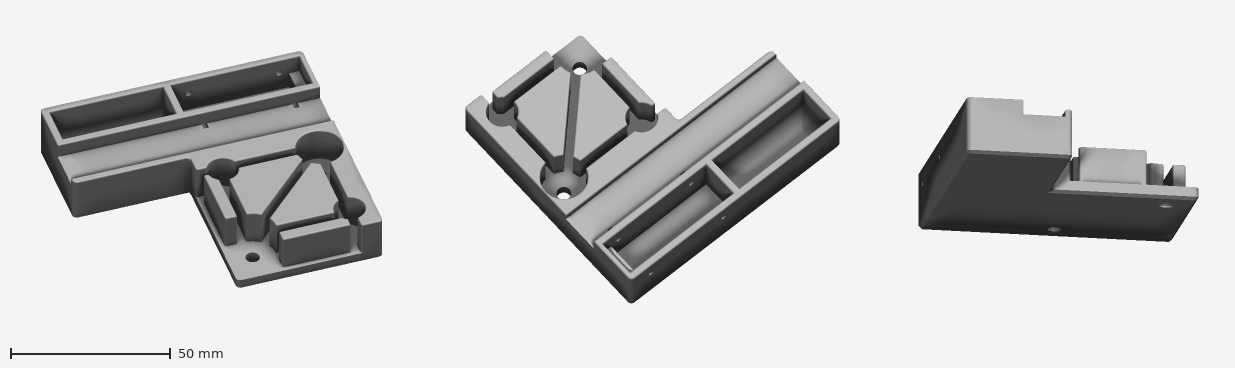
import cadquery as cq
length_x = 80.8
length_y = 86.7
bar_x = 33.7
plate_y = 38.4

box_top = 18.3
groove_floor = 13.4
raised_top = 15.9
floor_z = 4.1

corner_radius = 1.5
bottom_chamfer = 0.95
edge_radius = 0.5

groove_x0 = 18.0
groove_x1 = 31.4

side_wall = 2.5
back_wall = 1.7
divider = 2.5
pocket_x0 = side_wall
pocket_x1 = groove_x0 - side_wall
front_pocket_y1 = 40.0
basin_radius = 5.0
ledge_z = 12.0
ledge_depth = 3.4
ramp_rise = 2.0

pin_diameter = 2.0
pin_end_x = 20.0
pin_z = 12.9
pin_y_positions = (48.5, 78.4)

clearance_x0 = 42.05
clearance_x1 = 71.9
clearance_y0 = 46.5
clearance_y1 = 78.5
large_radius = 7.5
small_radius = 4.985
channel = 2.99
screw_diameter = 4.5

recess_x0 = 40.0
recess_y1 = 79.4
core_x0 = recess_x0 + channel
core_x1 = 72.3
core_y0 = 46.9
core_y1 = recess_y1 - channel
rib_x0 = core_x1 + channel
rib_y1 = core_y0 - channel
margin = 1.5

over = 4.3
tolerance = 0.1

tool_x1 = length_x + over
tool_y0 = plate_y - over
tool_y1 = length_y + over

inner_corner = cq.selectors.BoxSelector(
    (bar_x - tolerance, plate_y - tolerance, 0),
    (bar_x + tolerance, plate_y + tolerance, box_top),
)


def block(x0, x1, y0, y1, z0, z1):
    """Box given by its limits along each axis."""
    return cq.Workplane("XY").box(x1 - x0, y1 - y0, z1 - z0, centered=False).translate((x0, y0, z0))


def layer(x0, x1, y0, y1):
    """Box that fills the height of the recess."""
    return block(x0, x1, y0, y1, floor_z, raised_top)


def raised_edges(x0, x1, y0, y1):
    """Selector for edges at the raised height whose centres lie in an area."""
    return cq.selectors.BoxSelector(
        (x0, y0, raised_top - tolerance), (x1, y1, raised_top + tolerance))


def stepped_base():
    """Footprint with rounded outer corners, cut to three heights."""
    base = (
        cq.Workplane("XY")
        .polyline([
            (0, 0), (bar_x, 0), (bar_x, plate_y),
            (length_x, plate_y), (length_x, length_y), (0, length_y),
        ])
        .close()
        .extrude(box_top)
        .edges(cq.selectors.StringSyntaxSelector("|Z") - inner_corner).fillet(corner_radius)
        .faces("<Z").edges().chamfer(bottom_chamfer)
    )
    base = base.cut(block(groove_x0, groove_x1, -over, tool_y1, groove_floor, box_top))
    return base.cut(block(groove_x1, tool_x1, -over, tool_y1, raised_top, box_top))


def front_pocket():
    """Pocket whose floor is rounded along all four walls, with mitred corners."""
    well = block(pocket_x0, pocket_x1, side_wall, front_pocket_y1, floor_z, box_top)
    across = well.edges("<Z and |Y").fillet(basin_radius)
    along = well.edges("<Z and |X").fillet(basin_radius)
    return across.intersect(along)


def rear_pocket():
    """Pocket with a ledge at its rear end and a floor that slopes down to mid-width."""
    y0 = front_pocket_y1 + divider
    y1 = length_y - back_wall
    ledge_y = y1 - ledge_depth
    middle_x = groove_x0 / 2
    ramp_top = floor_z + ramp_rise
    well = (
        cq.Workplane("XZ", origin=(0, ledge_y, 0))
        .polyline([
            (pocket_x0, box_top), (pocket_x0, ramp_top), (middle_x, floor_z),
            (pocket_x1, floor_z), (pocket_x1, box_top),
        ])
        .close()
        .extrude(ledge_y - y0)
    )
    return well.union(block(pocket_x0, pocket_x1, ledge_y, y1, ledge_z, box_top))


def pin_holes():
    """Cross holes through both box walls, ending just inside the groove floor."""
    points = [(y, pin_z) for y in pin_y_positions]
    return cq.Workplane("YZ").pushPoints(points).circle(pin_diameter / 2).extrude(pin_end_x)


def cut_clearances(body):
    """Cut the four round clearances at the corners of the recess."""
    circles = (
        (clearance_x0, clearance_y1, large_radius),
        (clearance_x1, clearance_y0, large_radius),
        (clearance_x0, clearance_y0, small_radius),
        (clearance_x1, clearance_y1, small_radius),
    )
    for x, y, radius in circles:
        cylinder = cq.Workplane("XY", origin=(x, y, floor_z)).circle(radius)
        body = body.cut(cylinder.extrude(raised_top - floor_z))
    return body


def islands():
    """Core split by a 45 degree channel, and two ribs along the outer sides."""
    middle = ((clearance_x0 + clearance_x1) / 2, (clearance_y0 + clearance_y1) / 2, 0)
    reach = core_x1 - core_x0
    diagonal = layer(-reach, reach, -channel / 2, channel / 2)
    diagonal = diagonal.rotate((0, 0, 0), (0, 0, 1), -45).translate(middle)
    core = layer(core_x0, core_x1, core_y0, core_y1).cut(diagonal)

    right_rib = layer(rib_x0, length_x - margin, clearance_y0 + large_radius, core_y1)
    front_rib = layer(core_x0, clearance_x1 - large_radius, plate_y + margin, rib_y1)

    body = cut_clearances(core.union(right_rib).union(front_rib))
    body = body.edges("|Z").fillet(edge_radius)
    return body.faces(">Z").edges().fillet(edge_radius)


def frame():
    """Wall around the recess, oversized outwards."""
    wall = layer(groove_x1, tool_x1, tool_y0, tool_y1)
    wall = cut_clearances(wall.cut(layer(recess_x0, tool_x1, tool_y0, recess_y1)))
    inside = cq.selectors.BoxSelector(
        (bar_x, plate_y, 0), (length_x, length_y, box_top))
    wall = wall.edges("|Z").edges(inside).fillet(edge_radius)

    for x, y in ((recess_x0, plate_y), (length_x, recess_y1)):
        bevel = cq.Workplane("XY", origin=(x, y, floor_z)).polygon(4, 2 * edge_radius)
        wall = wall.cut(bevel.extrude(raised_top - floor_z))

    rim = raised_edges(bar_x, length_x + edge_radius, plate_y - edge_radius, length_y)
    return wall.edges(rim).fillet(edge_radius)


def recess():
    """Space left between the frame and the islands."""
    return layer(groove_x1, tool_x1, tool_y0, tool_y1).cut(frame()).cut(islands())


def screw_holes():
    """Through holes in the middle of the two large clearances."""
    points = [(clearance_x0, clearance_y1), (clearance_x1, clearance_y0)]
    return cq.Workplane("XY").pushPoints(points).circle(screw_diameter / 2).extrude(box_top)


body = stepped_base().cut(front_pocket()).cut(rear_pocket())
body = body.faces(">Z").edges().fillet(edge_radius)
block_rim = raised_edges(groove_x1 - tolerance, tool_x1, -over, tool_y1)
body = body.edges(block_rim).fillet(edge_radius)
body = body.edges("|Z").edges(inner_corner).fillet(corner_radius)

result = body.cut(recess()).cut(pin_holes()).cut(screw_holes())